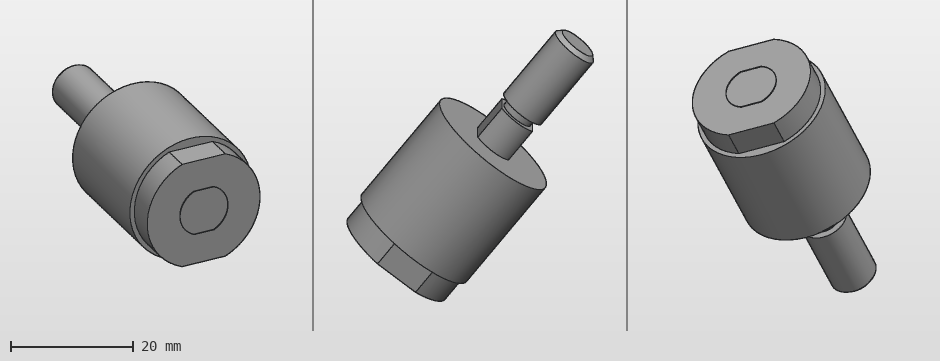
import cadquery as cq

total_length = 47.6
stud_end = 14.4
groove_end = 15.8
body_start = 22.15
body_end = 42.8
boss_height = 0.15
collar_end = total_length - boss_height

stud_diameter = 7.95
stud_chamfer = 0.8
groove_diameter = 5.52
neck_flat_width = 6.4
body_diameter = 22.25
collar_diameter = 20.6
collar_flat_width = 19.05
boss_diameter = 8.75
boss_flat_width = 8.0


def cylinder(start, end, diameter):
    """Cylinder about the X axis between two positions."""
    return cq.Workplane("YZ", origin=(start, 0, 0)).circle(diameter / 2).extrude(end - start)


def flatted_cylinder(start, end, diameter, width_y, width_z):
    """Cylinder about the X axis, trimmed to the given widths in Y and Z."""
    envelope = cq.Workplane("YZ", origin=(start, 0, 0)).rect(width_y, width_z).extrude(end - start)
    return cylinder(start, end, diameter).intersect(envelope)


stud = cylinder(0, stud_end, stud_diameter).faces("<X").chamfer(stud_chamfer)
groove = cylinder(stud_end, groove_end, groove_diameter)

neck = flatted_cylinder(groove_end, body_start, stud_diameter, neck_flat_width, stud_diameter)

body = cylinder(body_start, body_end, body_diameter)

collar = flatted_cylinder(body_end, collar_end, collar_diameter, collar_diameter, collar_flat_width)
boss = flatted_cylinder(collar_end, total_length, boss_diameter, boss_diameter, boss_flat_width)

result = stud.union(groove).union(neck).union(body).union(collar).union(boss)